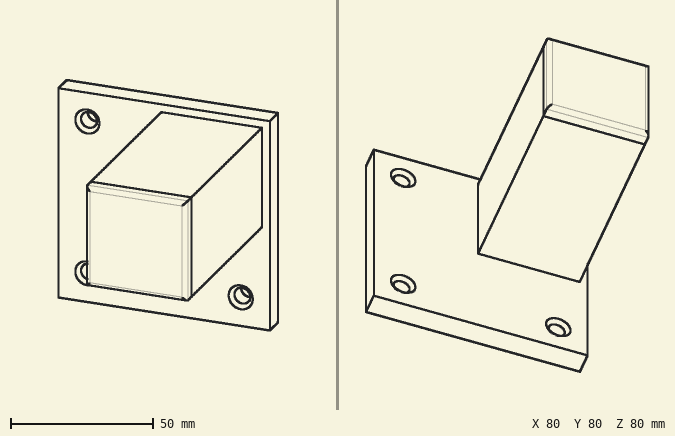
import cadquery as cq

plate_side = 80.0
plate_thickness = 8.0

overall_depth = 80.0
post_side = 38.0
post_center_inset = 22.0
cap_thickness = 5.0
cap_fillet = 1.6

hole_spacing = 58.0
hole_diameter = 6.0
countersink_diameter = 9.1
countersink_angle = 90.0

plate_front_y = -plate_thickness
cap_front_y = -overall_depth
cap_back_y = cap_front_y + cap_thickness
post_length = plate_front_y - cap_back_y
post_center = plate_side / 2 - post_center_inset
hole_offset = hole_spacing / 2
hole_centers = [
    (-hole_offset, hole_offset),
    (-hole_offset, -hole_offset),
    (hole_offset, -hole_offset),
]


def square_bar(side, center, back_y, length):
    """Square bar centered at X = Z = center, running toward -Y from back_y."""
    return (
        cq.Workplane("XZ", origin=(0, back_y, 0))
        .center(center, center)
        .rect(side, side)
        .extrude(length)
    )


def make_bracket():
    """Plate and post in one piece, with countersinks on the post's side."""
    plate = square_bar(plate_side, 0, 0, plate_thickness)
    plate = (
        plate.faces("<Y")
        .workplane(origin=(0, plate_front_y, 0))
        .pushPoints(hole_centers)
        .cskHole(hole_diameter, countersink_diameter, countersink_angle)
    )
    post = square_bar(post_side, post_center, plate_front_y, post_length)
    return plate.union(post)


def make_end_cap():
    """Square cap flush with the post, rounded around its outer face."""
    cap = square_bar(post_side, post_center, cap_back_y, cap_thickness)
    return cap.faces("<Y").edges().fillet(cap_fillet)


bracket = make_bracket()
end_cap = make_end_cap()
result = cq.Compound.makeCompound([bracket.val(), end_cap.val()])